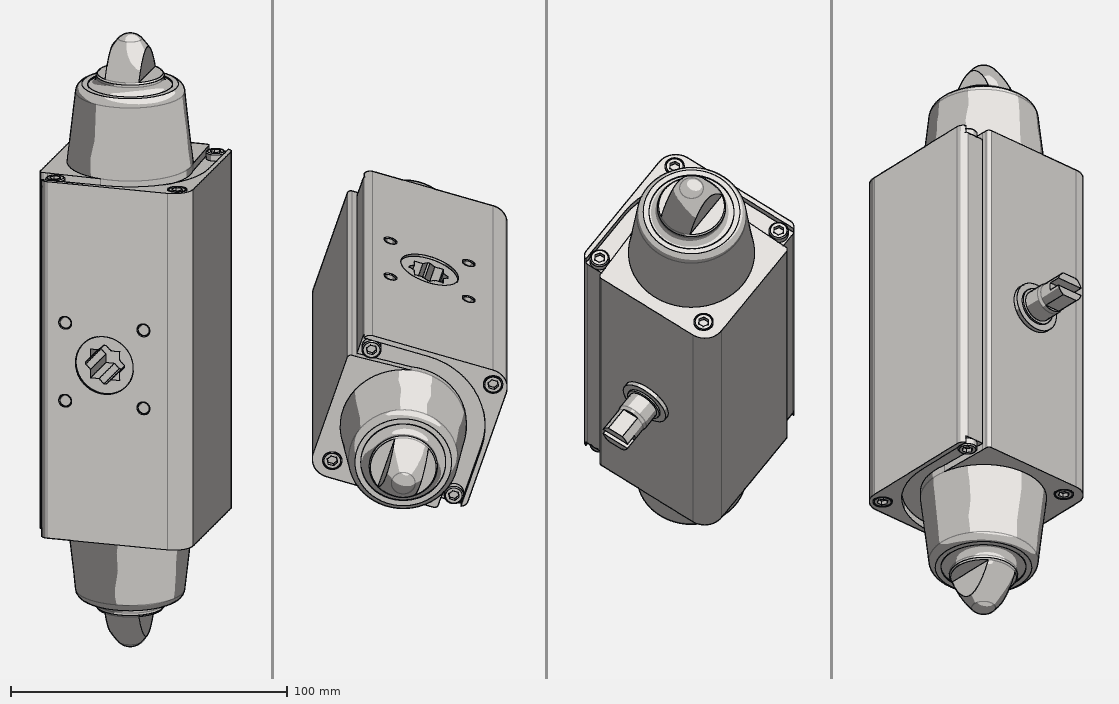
import cadquery as cq
import math


SHORT_SIDE = 27.8
BLOCK_WIDTH = 59.3
BLOCK_HALF_HEIGHT = 68.0
LEFT_X = -SHORT_SIDE
RIGHT_X = LEFT_X + BLOCK_WIDTH
BACK_Y = SHORT_SIDE
FRONT_Y = BACK_Y - BLOCK_WIDTH
STEP_LEDGE = 21.7
STEP_INSET = 3.3
LARGE_CORNER = 7.5
LEDGE_CORNER = 1.5
STEP_CORNER = 2.8

POCKET_DEPTH = 2.8
POCKET_OUTER = 29.6
POCKET_INNER = 22.6
POCKET_OVERRUN = 4.7

SCREW_LEFT_X = -20.3
SCREW_RIGHT_X = 26.0
SCREW_BACK_Y = 21.0
SCREW_FRONT_Y = -26.0
SCREW_DIAMETER = 7.0
SCREW_CHAMFER = 0.5
SOCKET_DIAMETER = 4.0
SOCKET_DEPTH = 1.6

CAP_BASE_RADIUS = 22.9
CAP_RIM_RADIUS = 19.8
CAP_RIM_Z = 94.7
CAP_FLAT_RADIUS = 17.5
CAP_TOP_Z = 97.5
NECK_FOOT_RADIUS = 15.5
NECK_FOOT_DROP = 0.5
NECK_RADIUS = 12.4
NECK_TOP_Z = 101.0
SHOULDER_Z = 101.7
NOSE_BASE_RADIUS = 12.0
NOSE_MID_RADIUS = 8.6
NOSE_MID_Z = 108.7
TIP_DIAMETER = 8.6
TIP_RADIUS = TIP_DIAMETER / 2
TIP_BASE_Z = 114.8
TIP_Z = 116.6
NOSE_THICKNESS = 12.8

MOUNT_CIRCLE_DIAMETER = 42.0
MOUNT_HOLE_DIAMETER = 4.2
MOUNT_MOUTH_DIAMETER = 5.0
MOUNT_HOLE_DEPTH = 9.3
DRILL_POINT_ANGLE = 118.0

HUB_DIAMETER = 22.0
HUB_RECESS = 1.0
HUB_END_Y = 0.0
FLANGE_DIAMETER = 19.0
FLANGE_HEIGHT = 1.6
FLANGE_TOP_Y = BACK_Y + FLANGE_HEIGHT
COLLAR_DIAMETER = 14.0
COLLAR_HEIGHT = 0.7
COLLAR_TOP_Y = FLANGE_TOP_Y + COLLAR_HEIGHT
STEM_DIAMETER = 12.0
STEM_TOP_Y = 36.6
SHANK_DIAMETER = 11.2
SHANK_START_Y = 38.0
SHANK_END_Y = 47.5
SHANK_THICKNESS = 9.3
SLOT_WIDTH = 3.0
SLOT_DEPTH = 4.5
DRIVE_TURN = 45
DRIVE_SQUARE = 11.0
DRIVE_TIP_DIAMETER = 14.7
DRIVE_DEPTH = 18.7

HUB_FACE_Y = FRONT_Y + HUB_RECESS


def block_half():
    """Upper half of the block, with rounded vertical edges."""
    corners = [
        (LEFT_X, BACK_Y, LARGE_CORNER),
        (STEP_LEDGE, BACK_Y, LEDGE_CORNER),
        (STEP_LEDGE, BACK_Y - STEP_INSET, 0),
        (RIGHT_X, BACK_Y - STEP_INSET, STEP_CORNER),
        (RIGHT_X, FRONT_Y, LARGE_CORNER),
        (LEFT_X + STEP_INSET, FRONT_Y, STEP_CORNER),
        (LEFT_X + STEP_INSET, -STEP_LEDGE, 0),
        (LEFT_X, -STEP_LEDGE, LEDGE_CORNER),
    ]
    outline = [(x, y) for x, y, _ in corners]
    block = cq.Workplane("XY").polyline(outline).close().extrude(BLOCK_HALF_HEIGHT)
    for x, y, radius in corners:
        if radius:
            edge = cq.selectors.NearestToPointSelector((x, y, BLOCK_HALF_HEIGHT / 2))
            block = block.edges("|Z").edges(edge).fillet(radius)
    return block


def end_pocket():
    """Curved band along the two stepped sides, open at both ends."""
    arc_mid = POCKET_OUTER / math.sqrt(2)
    open_end = BLOCK_WIDTH / 2 + POCKET_OVERRUN
    return (
        cq.Workplane("XY", origin=(0, 0, BLOCK_HALF_HEIGHT - POCKET_DEPTH))
        .moveTo(-open_end, -STEP_LEDGE)
        .lineTo(LEFT_X + STEP_INSET, -STEP_LEDGE)
        .lineTo(0, -POCKET_INNER)
        .lineTo(POCKET_INNER, 0)
        .lineTo(STEP_LEDGE, BACK_Y - STEP_INSET)
        .lineTo(STEP_LEDGE, open_end)
        .lineTo(POCKET_OUTER, open_end)
        .lineTo(POCKET_OUTER, 0)
        .threePointArc((arc_mid, -arc_mid), (0, -POCKET_OUTER))
        .lineTo(-open_end, -POCKET_OUTER)
        .close()
        .extrude(POCKET_DEPTH)
    )


def cap():
    """Tapered cap with a pointed nose that is flattened on two sides."""
    floor_z = BLOCK_HALF_HEIGHT - POCKET_DEPTH
    neck_foot_z = CAP_TOP_Z - NECK_FOOT_DROP
    neck_fillet = NECK_FOOT_RADIUS - NECK_RADIUS
    fillet_mid = neck_fillet * (1 - math.sqrt(0.5))
    fillet_mid_point = (NECK_RADIUS + fillet_mid, neck_foot_z + fillet_mid)
    fillet_top_point = (NECK_RADIUS, neck_foot_z + neck_fillet)
    tip_height = TIP_Z - TIP_BASE_Z
    tip_sphere = (TIP_RADIUS**2 + tip_height**2) / (2 * tip_height)
    tip_mid_radius = TIP_RADIUS / 2
    tip_mid_z = TIP_Z - tip_sphere + math.sqrt(tip_sphere**2 - tip_mid_radius**2)
    body = (
        cq.Workplane("XZ")
        .moveTo(0, floor_z)
        .lineTo(CAP_BASE_RADIUS, floor_z)
        .lineTo(CAP_BASE_RADIUS, BLOCK_HALF_HEIGHT)
        .lineTo(CAP_RIM_RADIUS, CAP_RIM_Z)
        .tangentArcPoint((CAP_FLAT_RADIUS, CAP_TOP_Z), relative=False)
        .lineTo(NECK_FOOT_RADIUS, CAP_TOP_Z)
        .lineTo(NECK_FOOT_RADIUS, neck_foot_z)
        .threePointArc(fillet_mid_point, fillet_top_point)
        .lineTo(NECK_RADIUS, NECK_TOP_Z)
        .lineTo(NOSE_BASE_RADIUS, SHOULDER_Z)
        .threePointArc((NOSE_MID_RADIUS, NOSE_MID_Z), (TIP_RADIUS, TIP_BASE_Z))
        .threePointArc((tip_mid_radius, tip_mid_z), (0, TIP_Z))
        .close()
        .revolve(360, (0, 0), (0, 1))
    )
    flat_depth = NECK_RADIUS
    for side in (-1, 1):
        flat = (
            cq.Workplane("XY", origin=(side * (NOSE_THICKNESS + flat_depth) / 2, 0, SHOULDER_Z))
            .rect(flat_depth, 2 * NECK_RADIUS)
            .extrude(TIP_Z - SHOULDER_Z)
        )
        body = body.cut(flat)
    return body


def add_screws(body):
    """Chamfered hex-socket screw heads, flush with the end face and one in each corner."""
    for x in (SCREW_LEFT_X, SCREW_RIGHT_X):
        for y in (SCREW_BACK_Y, SCREW_FRONT_Y):
            seat = (
                cq.Workplane("XY", origin=(x, y, BLOCK_HALF_HEIGHT - POCKET_DEPTH))
                .circle(SCREW_DIAMETER / 2)
                .extrude(POCKET_DEPTH)
            )
            head = seat.faces(">Z").chamfer(SCREW_CHAMFER)
            socket = (
                cq.Workplane("XY", origin=(x, y, BLOCK_HALF_HEIGHT))
                .polygon(6, SOCKET_DIAMETER)
                .extrude(-SOCKET_DEPTH)
            )
            body = body.cut(seat).union(head).cut(socket)
    return body


def turned(profile):
    """Solid turned about the Y axis from (radius, y) points."""
    return cq.Workplane("XY").polyline(profile).close().revolve(360, (0, 0), (0, 1))


def mount_hole(x, z):
    """Blind hole with a chamfered mouth and a drill point."""
    radius = MOUNT_HOLE_DIAMETER / 2
    mouth = MOUNT_MOUTH_DIAMETER / 2
    shoulder_y = FRONT_Y + MOUNT_HOLE_DEPTH
    point_length = radius / math.tan(math.radians(DRILL_POINT_ANGLE / 2))
    profile = [
        (0, FRONT_Y),
        (mouth, FRONT_Y),
        (radius, FRONT_Y + mouth - radius),
        (radius, shoulder_y),
        (0, shoulder_y + point_length),
    ]
    return turned(profile).translate((x, 0, z))


def make_housing():
    """Block, end caps and screws, mirrored end to end, with the mounting holes and the shaft bore."""
    upper = add_screws(block_half().cut(end_pocket()).union(cap()))
    housing = upper.union(upper.mirror("XY"))
    offset = MOUNT_CIRCLE_DIAMETER / 2 / math.sqrt(2)
    for x in (-offset, offset):
        for z in (-offset, offset):
            housing = housing.cut(mount_hole(x, z))
    hub = HUB_DIAMETER / 2
    flange = FLANGE_DIAMETER / 2
    bore = turned([
        (0, FRONT_Y),
        (hub, FRONT_Y),
        (hub, HUB_END_Y),
        (flange, HUB_END_Y),
        (flange, BACK_Y),
        (0, BACK_Y),
    ])
    return housing.cut(bore)


def make_shaft():
    """Shaft with a star socket in the hub face and a flattened, slotted shank at the other end."""
    hub = HUB_DIAMETER / 2
    flange = FLANGE_DIAMETER / 2
    collar = COLLAR_DIAMETER / 2
    stem = STEM_DIAMETER / 2
    shank = SHANK_DIAMETER / 2
    shaft = turned([
        (0, HUB_FACE_Y),
        (hub, HUB_FACE_Y),
        (hub, HUB_END_Y),
        (flange, HUB_END_Y),
        (flange, FLANGE_TOP_Y),
        (collar, FLANGE_TOP_Y),
        (collar, COLLAR_TOP_Y),
        (stem, COLLAR_TOP_Y),
        (stem, STEM_TOP_Y),
        (shank, SHANK_START_Y),
        (shank, SHANK_END_Y),
        (0, SHANK_END_Y),
    ])

    shank_length = SHANK_END_Y - SHANK_START_Y
    for side in (-1, 1):
        centre_z = side * (SHANK_THICKNESS + SHANK_DIAMETER) / 2
        flat = cq.Workplane("XY").box(SHANK_DIAMETER, shank_length, SHANK_DIAMETER)
        shaft = shaft.cut(flat.translate((0, SHANK_START_Y + shank_length / 2, centre_z)))

    slot = cq.Workplane("XY").box(SHANK_DIAMETER, SLOT_DEPTH, SLOT_WIDTH)
    shaft = shaft.cut(slot.translate((0, SHANK_END_Y - SLOT_DEPTH / 2, 0)))

    square = cq.Workplane("XY").box(DRIVE_SQUARE, DRIVE_DEPTH, DRIVE_SQUARE)
    square = square.translate((0, HUB_FACE_Y + DRIVE_DEPTH / 2, 0))
    tip = DRIVE_TIP_DIAMETER / 2
    socket_end_y = HUB_FACE_Y + DRIVE_DEPTH
    tip_bound = turned([(0, HUB_FACE_Y), (tip, HUB_FACE_Y), (tip, socket_end_y), (0, socket_end_y)])
    turned_square = square.rotate((0, 0, 0), (0, 1, 0), DRIVE_TURN).intersect(tip_bound)
    shaft = shaft.cut(square).cut(turned_square)
    return shaft


housing = make_housing()
shaft = make_shaft()
result = cq.Compound.makeCompound([housing.val(), shaft.val()])